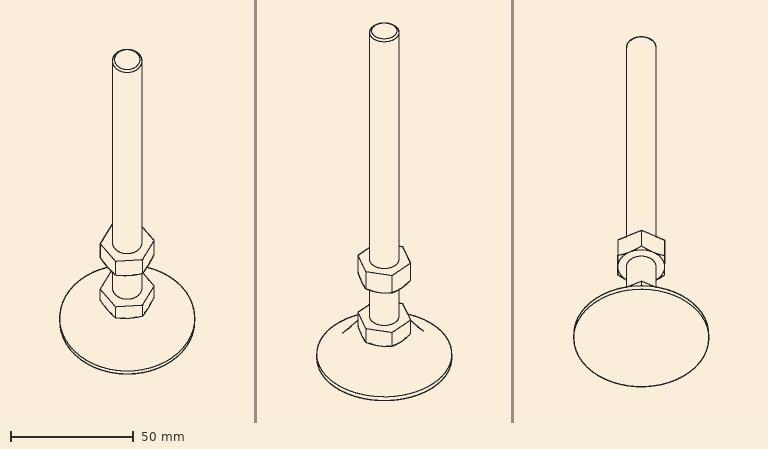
import cadquery as cq
import math

TOTAL_HEIGHT = 172.0
FOOT_HEIGHT = 14.0
BASE_NUT_HEIGHT = 8.0
NUT_GAP = 20.0
LOCK_NUT_HEIGHT = 10.0

FLANGE_DIAMETER = 55.0
FLANGE_THICKNESS = 2.0
CONE_BASE_RADIUS = 21.7
CONE_TOP_RADIUS = 12.9
BLEND_RADIUS = 4.0

ROD_DIAMETER = 12.0
ROD_TIP_CHAMFER = 0.9

HEX_ACROSS_FLATS = 19.1
NUT_CHAMFER_ANGLE = 30.0

LOCK_NUT_BOTTOM = FOOT_HEIGHT + BASE_NUT_HEIGHT + NUT_GAP
HEX_ACROSS_CORNERS = HEX_ACROSS_FLATS / math.cos(math.radians(30))


def make_foot():
    """Revolve the foot and round both ends of its conical side."""
    flange_radius = FLANGE_DIAMETER / 2
    foot = (
        cq.Workplane("XZ")
        .moveTo(0, 0)
        .lineTo(flange_radius, 0)
        .lineTo(flange_radius, FLANGE_THICKNESS)
        .lineTo(CONE_BASE_RADIUS, FLANGE_THICKNESS)
        .lineTo(CONE_TOP_RADIUS, FOOT_HEIGHT)
        .lineTo(0, FOOT_HEIGHT)
        .close()
        .revolve(360, (0, 0), (0, 1))
    )
    return foot.faces("%CONE").edges("%CIRCLE").fillet(BLEND_RADIUS)


def make_rod():
    """Rod standing on the foot, with a chamfered tip."""
    rod = (
        cq.Workplane("XY", origin=(0, 0, FOOT_HEIGHT))
        .circle(ROD_DIAMETER / 2)
        .extrude(TOTAL_HEIGHT - FOOT_HEIGHT)
    )
    return rod.faces(">Z").edges().chamfer(ROD_TIP_CHAMFER)


def make_nut(bottom, height):
    """Hexagon nut with corners on the X axis, a rod hole and chamfered bottom corners."""
    bottom_plane = cq.Workplane("XY", origin=(0, 0, bottom))
    hexagon = bottom_plane.polygon(6, HEX_ACROSS_CORNERS).extrude(height)

    flat_radius = HEX_ACROSS_FLATS / 2
    corner_radius = HEX_ACROSS_CORNERS / 2
    chamfer_height = (corner_radius - flat_radius) * math.tan(math.radians(NUT_CHAMFER_ANGLE))
    turned_blank = (
        bottom_plane.circle(corner_radius)
        .extrude(height)
        .faces("<Z")
        .edges()
        .chamfer(chamfer_height, corner_radius - flat_radius)
    )
    rod_hole = bottom_plane.circle(ROD_DIAMETER / 2).extrude(height)
    return hexagon.intersect(turned_blank).cut(rod_hole)


foot = make_foot()
rod = make_rod()
nuts = [
    make_nut(bottom, height)
    for bottom, height in (
        (FOOT_HEIGHT, BASE_NUT_HEIGHT),
        (LOCK_NUT_BOTTOM, LOCK_NUT_HEIGHT),
    )
]

bodies = [foot, rod, *nuts]
result = cq.Compound.makeCompound([body.solids().val() for body in bodies])